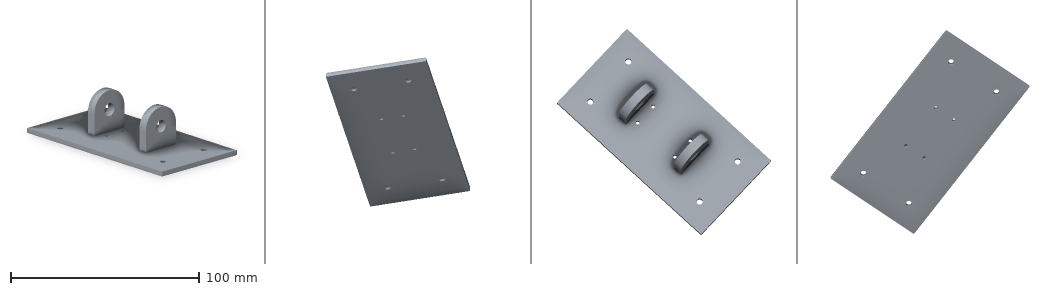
import cadquery as cq

plate_length = 104.5
plate_width = 54.5
plate_thickness = 2.7

overall_height = 26.0
lug_width = 21.9
lug_thickness = 5.0
lug_gap = 34.9
lug_radius = lug_width / 2
pivot_height = overall_height - lug_radius
left_bore_diameter = 7.2
right_bore_diameter = 6.8

corner_hole_diameter = 3.2
corner_hole_spacing_x = 79.3
corner_hole_spacing_y = 29.7
inner_hole_diameter = 2.0
inner_hole_spacing_x = 27.0
inner_hole_spacing_y = 11.9


def make_plate():
    """Plate resting on Z = 0 with its two rectangular hole patterns."""
    plate = cq.Workplane("XY").box(
        plate_length, plate_width, plate_thickness, centered=(True, True, False)
    )
    patterns = (
        (corner_hole_diameter, corner_hole_spacing_x, corner_hole_spacing_y),
        (inner_hole_diameter, inner_hole_spacing_x, inner_hole_spacing_y),
    )
    for diameter, spacing_x, spacing_y in patterns:
        plate = (
            plate.faces(">Z")
            .workplane(origin=(0, 0, plate_thickness))
            .rect(spacing_x, spacing_y, forConstruction=True)
            .vertices()
            .hole(diameter)
        )
    return plate


def make_lug(start_x, bore_diameter):
    """Upright lug from start_x towards +X, pierced by a bore along X."""
    body = (
        cq.Workplane("YZ", origin=(start_x, 0, 0))
        .moveTo(-lug_radius, 0)
        .lineTo(-lug_radius, pivot_height)
        .threePointArc((0, overall_height), (lug_radius, pivot_height))
        .lineTo(lug_radius, 0)
        .close()
        .extrude(lug_thickness)
    )
    bore = (
        cq.Workplane("YZ", origin=(start_x, 0, pivot_height))
        .circle(bore_diameter / 2)
        .extrude(lug_thickness)
    )
    return body.cut(bore)


left_lug = make_lug(-lug_gap / 2 - lug_thickness, left_bore_diameter)
right_lug = make_lug(lug_gap / 2, right_bore_diameter)
result = make_plate().union(left_lug).union(right_lug)